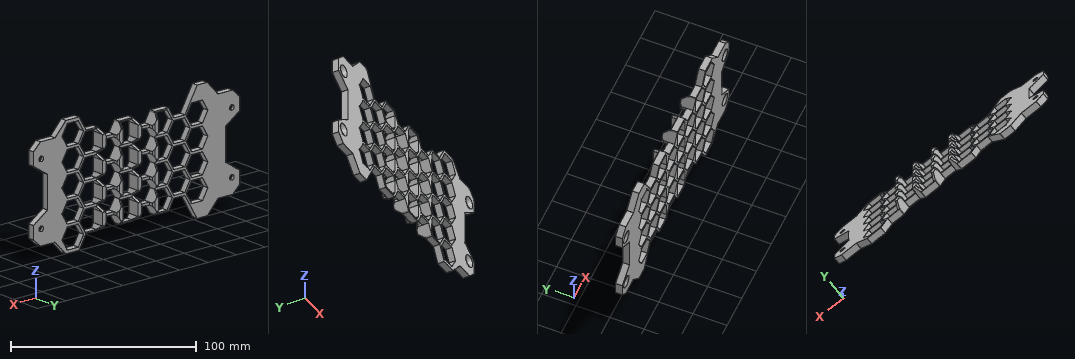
import cadquery as cq
import math

length = 145.0
height = 76.0
depth = 8.0
plate_thickness = 4.0

hole_flats = 13.0
column_pitch = 12.5
first_column_x = -42.5
tall_column_rim = 2.0
crest_rim = 0.9
holes_per_column = [4, 3, 4, 3, 4, 3, 4, 5]

hole_half_height = hole_flats / 2
hole_corner_radius = hole_flats / math.sqrt(3)
hole_half_side = hole_corner_radius / 2
wall_slope = math.radians(60)
tallest_stack = max(holes_per_column)
row_pitch = (height - hole_flats - 2 * tall_column_rim) / (tallest_stack - 1)
bar_width = row_pitch - hole_flats

blades = [(2, 1), (4, -1), (4, 1), (6, -1)]
blade_flat_offset = 5.2
blade_end_run = 3.3
blade_tip_bevel_x = 0.9
blade_tip_bevel_y = 1.3

ear_half_height = 29.7
ear_top_outer_x = 67.5
ear_top_inner_x = 57.3
ear_side_top_z = 25.1
ear_side_bottom_z = 16.8
notch_floor_x = 62.6
notch_half_height = 10.2
shoulder_outer_x = 49.7
left_shoulder_inner_x = -42.5
right_shoulder_inner_x = 40.3
right_shoulder_foot_x = 35.5
crest_half_width = 5.0
valley_half_width = 3.9
valley_columns = [1, 3, 5]

screw_x = 67.0
screw_z = 19.9
screw_diameter = 3.0
countersink_diameter = 7.2
countersink_angle = 90


def column_x(column):
    return first_column_x + column * column_pitch


def hole_heights(column):
    count = holes_per_column[column]
    return [(i - (count - 1) / 2) * row_pitch for i in range(count)]


def front_plane():
    """XZ sketch plane whose extrusions grow toward +Y."""
    return cq.Workplane("XZ")


def upper_edge():
    """Top outline of the plate, from the left end to the right end."""
    half_length = length / 2
    first_valley = valley_columns[0]
    last_valley = valley_columns[-1]
    crest_z = hole_heights(first_valley + 1)[-1] + hole_half_height + crest_rim
    valley_z = hole_heights(first_valley)[-1] + hole_half_height + bar_width
    points = [
        (-notch_floor_x, notch_half_height),
        (-half_length, ear_side_bottom_z),
        (-half_length, ear_side_top_z),
        (-ear_top_outer_x, ear_half_height),
        (-ear_top_inner_x, ear_half_height),
        (-shoulder_outer_x, height / 2),
        (left_shoulder_inner_x, height / 2),
    ]
    for valley in valley_columns:
        valley_x = column_x(valley)
        crest_x = column_x(valley + 1)
        points += [
            (valley_x - valley_half_width, valley_z),
            (valley_x + valley_half_width, valley_z),
            (crest_x - crest_half_width, crest_z),
        ]
        if valley != last_valley:
            points.append((crest_x + crest_half_width, crest_z))
    points += [
        (right_shoulder_foot_x, crest_z),
        (right_shoulder_inner_x, height / 2),
        (shoulder_outer_x, height / 2),
        (ear_top_inner_x, ear_half_height),
        (ear_top_outer_x, ear_half_height),
        (half_length, ear_side_top_z),
        (half_length, ear_side_bottom_z),
        (notch_floor_x, notch_half_height),
    ]
    return points


def make_plate():
    top = upper_edge()
    bottom = [(x, -z) for x, z in reversed(top)]
    return front_plane().polyline(top + bottom).close().extrude(-plate_thickness)


def make_hex_holes():
    centres = [(column_x(c), z) for c in range(len(holes_per_column)) for z in hole_heights(c)]
    return front_plane().pushPoints(centres).polygon(6, 2 * hole_corner_radius).extrude(-plate_thickness)


def make_blade():
    """Blade on the +X side of a hole centred on the origin."""
    outer_x = column_pitch - hole_corner_radius
    tip_x = column_pitch - hole_half_side
    flat_z = hole_half_height - (blade_flat_offset - hole_half_side) * math.tan(wall_slope)
    upper = [
        (blade_flat_offset, flat_z),
        (hole_half_side, hole_half_height),
        (outer_x, row_pitch / 2),
        (tip_x, bar_width / 2),
    ]
    lower = [(x, -z) for x, z in reversed(upper)]
    blade = front_plane().polyline(upper + lower).close().extrude(-depth)

    wall_plane = cq.Plane(
        origin=(hole_half_side, 0, hole_half_height),
        xDir=(math.cos(wall_slope), 0, -math.sin(wall_slope)),
        normal=(math.sin(wall_slope), 0, math.cos(wall_slope)),
    )
    end_cut = (
        cq.Workplane(wall_plane)
        .polyline([
            (-bar_width, plate_thickness),
            (0, plate_thickness),
            (blade_end_run, depth),
            (-bar_width, depth),
        ])
        .close()
        .extrude(2 * bar_width, both=True)
    )
    tip_cut = (
        cq.Workplane("XY")
        .polyline([
            (tip_x, depth - blade_tip_bevel_y),
            (tip_x, depth),
            (tip_x - blade_tip_bevel_x, depth),
        ])
        .close()
        .extrude(row_pitch, both=True)
    )
    return blade.cut(end_cut).cut(end_cut.mirror("XY")).cut(tip_cut)


def add_blades(body):
    right_blade = make_blade()
    blade_by_side = {1: right_blade, -1: right_blade.mirror("YZ")}
    for column, side in blades:
        for z in hole_heights(column):
            body = body.union(blade_by_side[side].translate((column_x(column), 0, z)))
    return body


def cut_screw_holes(body):
    places = [(x, z) for x in (-screw_x, screw_x) for z in (-screw_z, screw_z)]
    return (
        front_plane()
        .add(body)
        .pushPoints(places)
        .cskHole(screw_diameter, countersink_diameter, countersink_angle)
    )


result = cut_screw_holes(add_blades(make_plate().cut(make_hex_holes())).clean())